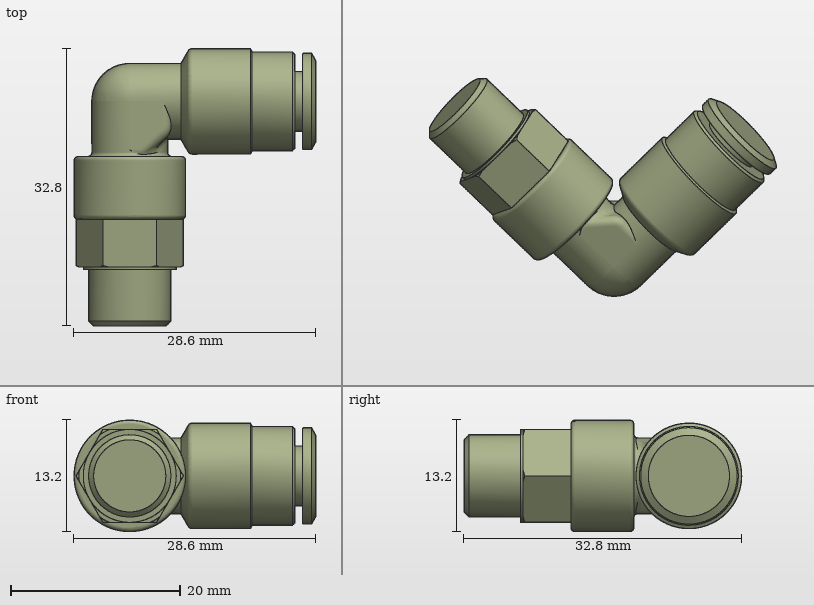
import cadquery as cq
import math


X_AXIS = (1, 0, 0)
Y_AXIS = (0, 1, 0)

elbow_radius = 9.0 / 2
thread_leg_end = 9.0

socket_radius = 12.5 / 2
socket_cone_start = 6.05
socket_cone_slope = 60.0
socket_shoulder_round = 0.6
socket_step_start = 14.27
socket_step_end = 14.47
sleeve_radius = 11.7 / 2
sleeve_end = 19.52
sleeve_chamfer = 0.3

ring_neck_radius = 7.1 / 2
ring_radius = 11.4 / 2
ring_start = 20.4
ring_end = 22.0
ring_inner_round = 0.2
ring_bevel_length = 0.5
ring_bevel_depth = 0.9

collar_radius = 13.2 / 2
collar_start = 6.5
collar_end = 13.95
collar_round = 0.5
leg_root_fillet = 0.45
hex_sides = 6
hex_across_flats = 11.0
hex_end = 19.6
hex_chamfer_radius = 12.0 / 2
hex_chamfer_angle = 30.0
seat_radius = 11.0 / 2
seat_end = 19.9
thread_radius = 9.73 / 2
thread_end = 26.58
thread_chamfer = 0.6

web_reach_x = 4.9
web_knee_y = 3.8
web_foot_x = 1.6
web_foot_y = 6.75
web_knee_round = 2.0
web_foot_round = 1.5
web_edge_round = 1.0
web_root_fillet = 1.2


def disc_x(radius, start, end):
    """Cylinder on the +X axis between two stations."""
    return cq.Workplane("YZ", origin=(start, 0, 0)).circle(radius).extrude(end - start)


def disc_y(radius, start, end):
    """Cylinder on the -Y axis between two stations."""
    return cq.Workplane("XZ", origin=(0, -start, 0)).circle(radius).extrude(end - start)


def turned(profile, axis_end):
    """Solid of revolution of an XY profile about the axis from the origin to axis_end."""
    return cq.Workplane("XY").polyline(profile).close().revolve(360, (0, 0, 0), axis_end)


def make_legs():
    """Two equal cylinders meeting in a ball at the origin."""
    ball = cq.Workplane("XY").sphere(elbow_radius)
    socket_leg = disc_x(elbow_radius, 0, socket_cone_start)
    thread_leg = disc_y(elbow_radius, 0, thread_leg_end)
    return ball.union(socket_leg).union(thread_leg)


def make_web():
    """Block in the inside corner, with rounded outer corners and top and bottom edges."""
    outline = [
        (0, 0),
        (web_reach_x, 0),
        (web_reach_x, -web_knee_y),
        (web_foot_x, -web_foot_y),
        (0, -web_foot_y),
    ]
    web = cq.Workplane("XY").polyline(outline).close().extrude(elbow_radius, both=True)
    knee = cq.selectors.NearestToPointSelector((web_reach_x, -web_knee_y, 0))
    foot = cq.selectors.NearestToPointSelector((web_foot_x, -web_foot_y, 0))
    web = web.edges("|Z").edges(knee).fillet(web_knee_round)
    web = web.edges("|Z").edges(foot).fillet(web_foot_round)

    return web.faces("|Z").edges(">X or <Y").fillet(web_edge_round)


def make_elbow():
    """Legs and web, with a concave fillet where the diagonal web face runs into the thread leg."""
    elbow = make_legs().union(make_web())

    middle_x = (web_reach_x + web_foot_x) / 2
    middle_y = (web_knee_y + web_foot_y) / 2
    seam_box = cq.selectors.BoxSelector(
        (middle_x - web_edge_round, -middle_y - web_edge_round, -elbow_radius),
        (middle_x + web_edge_round, -middle_y + web_edge_round, elbow_radius),
    )
    seams = elbow.edges("%ELLIPSE").edges(seam_box)
    return seams.fillet(web_root_fillet)


def make_socket():
    """Socket barrel with a rounded conical shoulder and a stepped-down sleeve."""
    cone_length = (socket_radius - elbow_radius) / math.tan(math.radians(socket_cone_slope))
    shoulder = socket_cone_start + cone_length
    profile = [
        (socket_cone_start, 0),
        (socket_cone_start, elbow_radius),
        (shoulder, socket_radius),
        (socket_step_start, socket_radius),
        (socket_step_end, sleeve_radius),
        (sleeve_end - sleeve_chamfer, sleeve_radius),
        (sleeve_end, sleeve_radius - sleeve_chamfer),
        (sleeve_end, 0),
    ]
    barrel = turned(profile, X_AXIS)
    shoulder_rim = cq.selectors.BoxSelector(
        (shoulder - socket_shoulder_round, -collar_radius, -collar_radius),
        (shoulder + socket_shoulder_round, collar_radius, collar_radius),
    )
    return barrel.edges("%CIRCLE").edges(shoulder_rim).fillet(socket_shoulder_round)


def make_release_ring():
    """Neck and ring standing out of the sleeve, with the outer rim bevelled."""
    neck = disc_x(ring_neck_radius, sleeve_end, ring_start)
    ring = disc_x(ring_radius, ring_start, ring_end)
    ring = ring.faces("<X").edges().fillet(ring_inner_round)
    profile = [
        (ring_end - ring_bevel_length, ring_radius),
        (ring_end, ring_radius),
        (ring_end, ring_radius - ring_bevel_depth),
    ]
    bevel = turned(profile, X_AXIS)
    return neck.union(ring.cut(bevel))


def make_collar():
    """Swivel collar with a small concave flare where the elbow leg enters it."""
    collar = disc_y(collar_radius, collar_start, collar_end).edges("%CIRCLE").fillet(collar_round)
    flare_radius = elbow_radius + leg_root_fillet
    flare_start = collar_start - leg_root_fillet
    arc_reach = leg_root_fillet * (1 - math.sqrt(0.5))
    flare = (
        cq.Workplane("XY")
        .moveTo(0, -flare_start)
        .lineTo(elbow_radius, -flare_start)
        .threePointArc(
            (elbow_radius + arc_reach, -collar_start + arc_reach),
            (flare_radius, -collar_start),
        )
        .lineTo(0, -collar_start)
        .close()
        .revolve(360, (0, 0, 0), Y_AXIS)
    )
    return collar.union(flare)


def make_hexagon():
    """Wrench hexagon with flats facing up and down and its end corners turned off."""
    across_corners = hex_across_flats / math.cos(math.pi / hex_sides)
    length = hex_end - collar_end
    hexagon = (
        cq.Workplane("XZ", origin=(0, -collar_end, 0))
        .polygon(hex_sides, across_corners)
        .extrude(length)
    )
    rise = (across_corners / 2 - hex_chamfer_radius) * math.tan(math.radians(hex_chamfer_angle))
    envelope_profile = [
        (0, -collar_end),
        (across_corners / 2, -collar_end),
        (across_corners / 2, -hex_end + rise),
        (hex_chamfer_radius, -hex_end),
        (0, -hex_end),
    ]
    return hexagon.intersect(turned(envelope_profile, Y_AXIS))


def make_thread():
    """Sealing seat and plain threaded shank with a chamfered tip."""
    seat = disc_y(seat_radius, hex_end, seat_end)
    thread = disc_y(thread_radius, seat_end, thread_end)
    return seat.union(thread.faces("<Y").edges().chamfer(thread_chamfer))


result = (
    make_elbow()
    .union(make_socket())
    .union(make_release_ring())
    .union(make_collar())
    .union(make_hexagon())
    .union(make_thread())
)